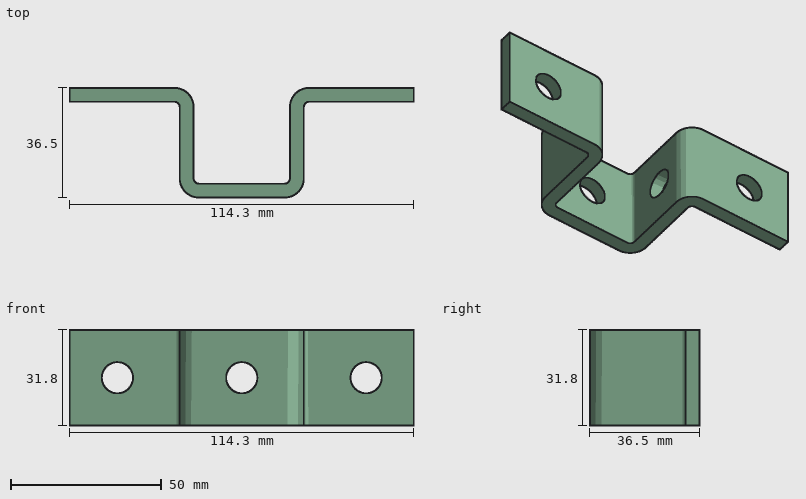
import cadquery as cq

length = 114.3
depth = 36.5
height = 31.8

thickness = 4.7
inner_radius = 1.7
outer_radius = inner_radius + thickness
channel_width = 41.3

hole_diameter = 10.3
flange_hole_x = 41.3
side_hole_setback = 16.0

back_y = depth / 2
front_y = -depth / 2
half_channel = channel_width / 2
pick_margin = 0.1


def block(x_size, y_min, y_max):
    """Full-height block centred on X and Z, spanning y_min to y_max."""
    return (
        cq.Workplane("XY")
        .box(x_size, y_max - y_min, height)
        .translate((0, (y_min + y_max) / 2, 0))
    )


def vertical_edges(x, y):
    """Select the pair of vertical edges at (+x, y) and (-x, y)."""
    selectors = [
        cq.selectors.BoxSelector(
            (side * x - pick_margin, y - pick_margin, -height),
            (side * x + pick_margin, y + pick_margin, height),
        )
        for side in (-1, 1)
    ]
    return selectors[0] + selectors[1]


def bent_strip():
    """Hat-shaped strip: two flanges joined by a U-shaped channel."""
    inner_half = half_channel - thickness
    strip = block(length, back_y - thickness, back_y)
    strip = strip.union(block(channel_width, front_y, back_y))
    strip = strip.cut(block(2 * inner_half, front_y + thickness, back_y))
    bends = [
        (half_channel, front_y, outer_radius),
        (inner_half, front_y + thickness, inner_radius),
        (inner_half, back_y, outer_radius),
        (half_channel, back_y - thickness, inner_radius),
    ]
    for x, y, radius in bends:
        strip = strip.edges(vertical_edges(x, y)).fillet(radius)
    return strip


def front_holes():
    """Holes along Y through both flanges and the channel web."""
    return (
        cq.Workplane("XZ")
        .pushPoints([(-flange_hole_x, 0), (0, 0), (flange_hole_x, 0)])
        .circle(hole_diameter / 2)
        .extrude(depth, both=True)
    )


def side_hole():
    """Hole along X through the -X channel wall only."""
    return (
        cq.Workplane("YZ", origin=(-half_channel, 0, 0))
        .center(back_y - side_hole_setback, 0)
        .circle(hole_diameter / 2)
        .extrude(thickness)
    )


result = bent_strip().cut(front_holes()).cut(side_hole())